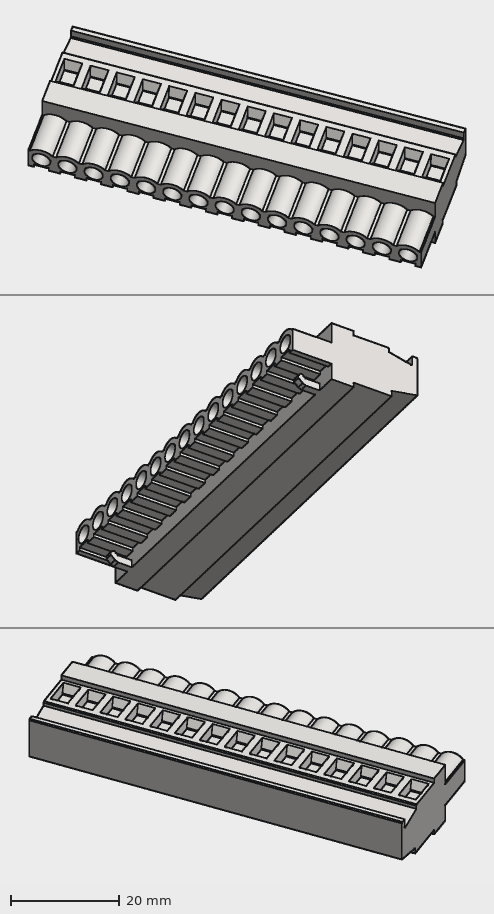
import cadquery as cq
import math

LENGTH = 76.2
DEPTH = 27.1
HEIGHT = 12.7

POLE_COUNT = 15
POLE_PITCH = LENGTH / POLE_COUNT
POLE_CENTERS = [(i + 0.5) * POLE_PITCH for i in range(POLE_COUNT)]

COLLAR_FRONT = 8.45
COLLAR_BACK = 13.25
SHELF_STEP = 1.0
SHELF_TOP = HEIGHT - SHELF_STEP
SHELF_BACK = 20.95
SHELF_CHAMFER = 0.2
LEDGE_HIGH = 10.8
LEDGE_LOW = 9.7
LIP_THICKNESS = 1.15
LIP_FRONT = DEPTH - LIP_THICKNESS
LIP_CHAMFER = 0.2
GROOVE_CHAMFER = 0.2
UNDERSIDE_BACK = 21.5
UNDERSIDE_HIGH = 2.2
BACK_FACE_BOTTOM = 3.3

SOCKET_AXIS = 6.3
BARREL_RADIUS = 3.0
STRIP_BOTTOM = 3.5
STRIP_TOP = 8.3
BARREL_HALF_WIDTH = math.sqrt(BARREL_RADIUS**2 - (STRIP_TOP - SOCKET_AXIS) ** 2)
KEYWAY_WIDTH = 2.8
KEYWAY_HEIGHT = 0.7

LEAD_IN_DIAMETER = 3.6
LEAD_IN_END_DIAMETER = 1.6
LEAD_IN_DEPTH = 3.8

POCKET_FRONT = 13.95
POCKET_BACK = 19.5
POCKET_WIDTH = 3.5
POCKET_FLOOR_FRONT = 15.25
POCKET_FLOOR_BACK = 18.1
POCKET_FLOOR_WIDTH = 2.75
POCKET_TAPER_DEPTH = 1.45
POCKET_WELL_DEPTH = 0.3

HOOK_WIDTH = 1.6
HOOK_END_DISTANCE = 5.0
HOOK_THICKNESS = 1.6
HOOK_RAMP_START = 5.5
HOOK_CREST = (4.65, 2.3)
HOOK_NOSE_MIDDLE = (4.1, 2.05)
HOOK_NOSE_END = (3.9, 1.15)
HOOK_BEVEL_END = (4.8, 0.3)
HOOK_UNDERSIDE_END = 5.5


def make_housing():
    """Main body: one Y-Z outline extruded over the full length."""
    outline = (
        cq.Workplane("YZ")
        .moveTo(COLLAR_FRONT, 0)
        .lineTo(COLLAR_FRONT, HEIGHT)
        .lineTo(COLLAR_BACK, HEIGHT)
        .lineTo(COLLAR_BACK, SHELF_TOP)
        .lineTo(SHELF_BACK - SHELF_CHAMFER, SHELF_TOP)
        .lineTo(SHELF_BACK, SHELF_TOP - SHELF_CHAMFER)
        .lineTo(SHELF_BACK, LEDGE_HIGH)
        .lineTo(LIP_FRONT - GROOVE_CHAMFER, LEDGE_LOW)
        .lineTo(LIP_FRONT, LEDGE_LOW + GROOVE_CHAMFER)
        .lineTo(LIP_FRONT, SHELF_TOP)
        .lineTo(DEPTH - LIP_CHAMFER, SHELF_TOP)
        .lineTo(DEPTH, SHELF_TOP - LIP_CHAMFER)
        .lineTo(DEPTH, BACK_FACE_BOTTOM)
        .lineTo(UNDERSIDE_BACK, UNDERSIDE_HIGH)
        .lineTo(UNDERSIDE_BACK, SHELF_STEP)
        .lineTo(COLLAR_BACK, SHELF_STEP)
        .lineTo(COLLAR_BACK, 0)
        .close()
    )
    return outline.extrude(LENGTH)


def make_socket_strip():
    """Strip with a rounded barrel over each pole and a keyway under it."""
    profile = cq.Workplane("XZ").moveTo(0, STRIP_BOTTOM).lineTo(0, STRIP_TOP)
    for x in POLE_CENTERS:
        profile = (
            profile.lineTo(x - BARREL_HALF_WIDTH, STRIP_TOP)
            .threePointArc(
                (x, SOCKET_AXIS + BARREL_RADIUS),
                (x + BARREL_HALF_WIDTH, STRIP_TOP),
            )
        )
    strip = (
        profile.lineTo(LENGTH, STRIP_TOP)
        .lineTo(LENGTH, STRIP_BOTTOM)
        .close()
        .extrude(-COLLAR_FRONT)
    )
    keyways = (
        cq.Workplane("XZ")
        .pushPoints([(x, STRIP_BOTTOM) for x in POLE_CENTERS])
        .rect(KEYWAY_WIDTH, 2 * KEYWAY_HEIGHT)
        .extrude(-COLLAR_FRONT)
    )
    return strip.cut(keyways)


def make_lead_in(x):
    """Tapered socket entry that narrows to a small flat end."""
    return cq.Workplane(
        cq.Solid.makeCone(
            LEAD_IN_DIAMETER / 2,
            LEAD_IN_END_DIAMETER / 2,
            LEAD_IN_DEPTH,
            pnt=cq.Vector(x, 0, SOCKET_AXIS),
            dir=cq.Vector(0, 1, 0),
        )
    )


def make_screw_pocket(x):
    """Pocket that tapers in from the shelf and ends in a short straight well."""
    mouth_center = (POCKET_FRONT + POCKET_BACK) / 2
    floor_center = (POCKET_FLOOR_FRONT + POCKET_FLOOR_BACK) / 2
    floor_length = POCKET_FLOOR_BACK - POCKET_FLOOR_FRONT
    taper = (
        cq.Workplane("XY", origin=(x, mouth_center, SHELF_TOP))
        .rect(POCKET_WIDTH, POCKET_BACK - POCKET_FRONT)
        .workplane(offset=-POCKET_TAPER_DEPTH)
        .center(0, floor_center - mouth_center)
        .rect(POCKET_FLOOR_WIDTH, floor_length)
        .loft(ruled=True)
    )
    well = (
        cq.Workplane("XY", origin=(x, floor_center, SHELF_TOP - POCKET_TAPER_DEPTH))
        .rect(POCKET_FLOOR_WIDTH, floor_length)
        .extrude(-POCKET_WELL_DEPTH)
    )
    return taper.union(well)


def make_hook(x):
    """Latch arm with an upturned, rounded nose that is bevelled underneath."""
    return (
        cq.Workplane("YZ", origin=(x - HOOK_WIDTH / 2, 0, 0))
        .moveTo(COLLAR_FRONT, 0)
        .lineTo(COLLAR_FRONT, HOOK_THICKNESS)
        .lineTo(HOOK_RAMP_START, HOOK_THICKNESS)
        .lineTo(*HOOK_CREST)
        .threePointArc(HOOK_NOSE_MIDDLE, HOOK_NOSE_END)
        .lineTo(*HOOK_BEVEL_END)
        .lineTo(HOOK_UNDERSIDE_END, 0)
        .close()
        .extrude(HOOK_WIDTH)
    )


result = make_housing().union(make_socket_strip())

for hook_x in (HOOK_END_DISTANCE, LENGTH - HOOK_END_DISTANCE):
    result = result.union(make_hook(hook_x))

for pole_x in POLE_CENTERS:
    result = result.cut(make_lead_in(pole_x))
    result = result.cut(make_screw_pocket(pole_x))